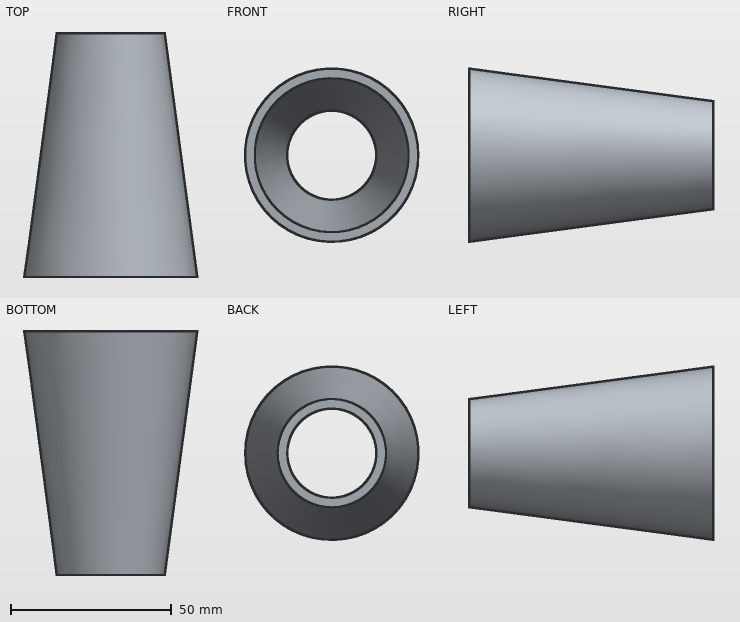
import cadquery as cq

length = 76.0
wide_diameter = 54.0
narrow_diameter = 33.75
wall = 3.05

wide_radius = wide_diameter / 2
narrow_radius = narrow_diameter / 2

wall_section = [
    (wide_radius - wall, 0),
    (wide_radius, 0),
    (narrow_radius, length),
    (narrow_radius - wall, length),
]

result = cq.Workplane("XY").polyline(wall_section).close().revolve(360, (0, 0, 0), (0, 1, 0))